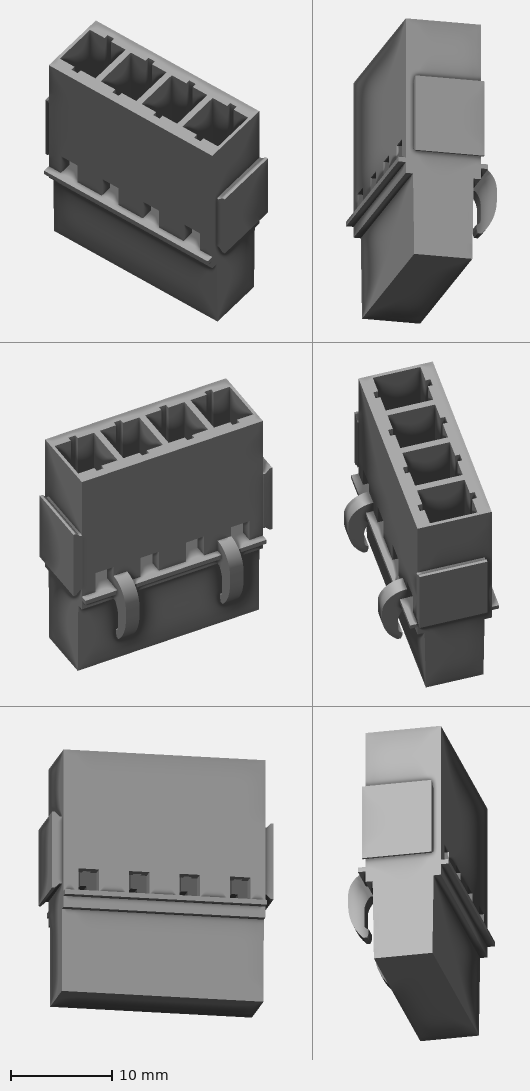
import cadquery as cq
import math


pole_count = 4
pole_pitch = 5.08
body_width = pole_count * pole_pitch
pole_centres = [(i - (pole_count - 1) / 2) * pole_pitch for i in range(pole_count)]

total_height = 24.55
body_depth = 7.65
body_bottom = 8.4

plug_top_depth = 6.19
plug_bottom_depth = 5.95

flange_depth = 9.18
flange_bottom = 9.53
flange_top = 10.02

cavity_width = 4.42
cavity_depth = 4.9
keyway_width = 0.79
keyway_depth = 5.9
window_width = 2.05
window_top = 12.42

ear_span = 22.32
ear_front = -3.1
ear_back = 3.93
ear_bottom = 10.53
ear_top = 18.31
ear_rim = 0.27
ear_bevel = 0.47

hook_width = 1.52
hook_inner_x = pole_pitch
hook_back = 6.4
hook_top = 11.3
hook_bend = 7.6
hook_radius = hook_back - body_depth / 2

hook_tip_outer = (4.85, 4.0)
hook_tip_inner = (4.47, 4.0)
hook_nose_bottom = (4.32, 4.45)
hook_nose_top = (4.32, 4.89)
hook_throat_curve = (4.65, 5.05)
hook_throat_bottom = (4.76, 5.35)
hook_throat_top = (4.76, 7.07)
hook_armpit_curve = (4.52, 7.88)
hook_armpit = 4.15


def block(width, depth, bottom, top, x=0):
    """Box centred on Y = 0 and on the given X, between two heights."""
    return cq.Workplane("XY", origin=(x, 0, bottom)).rect(width, depth).extrude(top - bottom)


def make_plug():
    half_top = plug_top_depth / 2
    half_bottom = plug_bottom_depth / 2
    outline = [(-half_bottom, 0), (half_bottom, 0), (half_top, body_bottom), (-half_top, body_bottom)]
    return cq.Workplane("YZ").polyline(outline).close().extrude(body_width / 2, both=True)


def cut_cavity(housing, x):
    """Cut one keyed cavity and the window that crosses its floor."""
    cavity = block(cavity_width, cavity_depth, flange_top, total_height, x)
    keyways = block(keyway_width, keyway_depth, flange_top, total_height, x)
    window = block(window_width, body_depth, flange_top, window_top, x)
    return housing.cut(cavity).cut(keyways).cut(window)


def make_ear(side):
    """Dovetail ear on the end given by side (-1 or +1)."""
    face = side * body_width / 2
    outer = side * ear_span / 2
    rim = outer - side * ear_rim
    neck = rim - side * ear_bevel
    outline = [
        (face, ear_bottom + ear_bevel),
        (neck, ear_bottom + ear_bevel),
        (rim, ear_bottom),
        (outer, ear_bottom),
        (outer, ear_top),
        (rim, ear_top),
        (neck, ear_top - ear_bevel),
        (face, ear_top - ear_bevel),
    ]
    ear = cq.Workplane("XZ").polyline(outline).close().extrude(ear_front - ear_back)
    return ear.translate((0, ear_front, 0))


def make_hook(x_start):
    """Curved latch hook rising from the back face and hanging below the body."""
    root = body_depth / 2
    shoulder = hook_top - hook_radius
    diagonal = hook_radius * math.sqrt(0.5)
    return (
        cq.Workplane("YZ", origin=(x_start, 0, 0))
        .moveTo(root, hook_top)
        .threePointArc((root + diagonal, shoulder + diagonal), (hook_back, shoulder))
        .lineTo(hook_back, hook_bend)
        .tangentArcPoint(hook_tip_outer, relative=False)
        .lineTo(*hook_tip_inner)
        .lineTo(*hook_nose_bottom)
        .lineTo(*hook_nose_top)
        .threePointArc(hook_throat_curve, hook_throat_bottom)
        .lineTo(*hook_throat_top)
        .threePointArc(hook_armpit_curve, (hook_armpit, body_bottom))
        .lineTo(root, body_bottom)
        .close()
        .extrude(hook_width)
    )


result = block(body_width, body_depth, body_bottom, total_height)
result = result.union(make_plug())
result = result.union(block(body_width, flange_depth, flange_bottom, flange_top))

for centre in pole_centres:
    result = cut_cavity(result, centre)

for end in (-1, 1):
    result = result.union(make_ear(end))

for hook_start in (-hook_inner_x - hook_width, hook_inner_x):
    result = result.union(make_hook(hook_start))